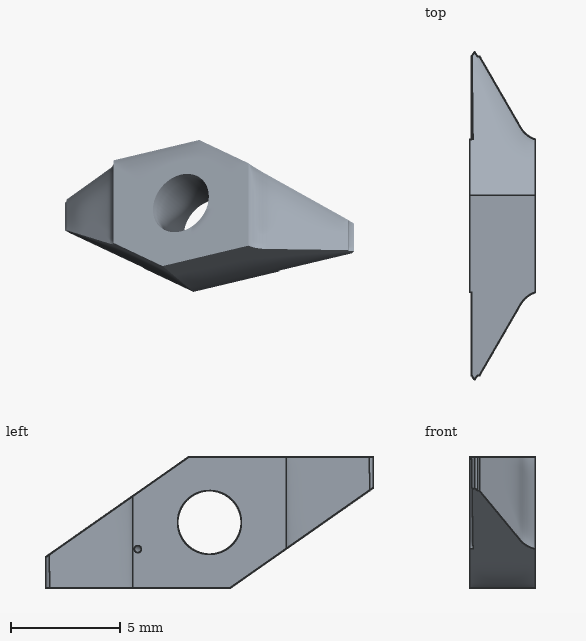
import cadquery as cq
import math

thickness = 3.0
length = 15.0
height = 6.0

ramp_angle = math.radians(35)
ramp_start_y = 0.95

shoulder_y = 3.5
land_depth = 0.08
land_relief_angle = math.radians(1)
flank_angle = math.radians(30)
nose_width = 0.28
flank_start_x = -1.05
flank_start_y = 7.3
root_start_x = 0.83

hole_diameter = 2.9
dimple_y = 3.28
dimple_z = -1.22
dimple_diameter = 0.32

half_thickness = thickness / 2
half_length = length / 2
half_height = height / 2
land_x = -half_thickness + land_depth


def side_blank():
    """Blank with the side outline, symmetric under a half turn about X."""
    end_z = half_height - (half_length - ramp_start_y) * math.tan(ramp_angle)
    half_outline = [
        (ramp_start_y, half_height),
        (half_length, end_z),
        (half_length, -half_height),
    ]
    other_half = [(-y, -z) for y, z in half_outline]
    outline = cq.Workplane("YZ").polyline(half_outline + other_half).close()
    return outline.extrude(half_thickness, both=True)


def half_turn(body):
    """Copy of a body turned half a revolution about the X axis."""
    return body.rotate((0, 0, 0), (1, 0, 0), 180)


def front_half_plan():
    """Full-height prism of the -Y half: land, pointed nose, slanted flank and root arc."""
    root_start_y = -flank_start_y + (root_start_x - flank_start_x) / math.tan(flank_angle)
    outline = (
        cq.Workplane("XY")
        .moveTo(-half_thickness, 0)
        .lineTo(-half_thickness, -shoulder_y)
        .lineTo(land_x, -shoulder_y)
        .lineTo(land_x, -flank_start_y)
        .lineTo(land_x + nose_width / 2, -half_length)
        .lineTo(land_x + nose_width, -flank_start_y)
        .lineTo(flank_start_x, -flank_start_y)
        .lineTo(root_start_x, root_start_y)
        .tangentArcPoint((half_thickness, -shoulder_y), relative=False)
        .lineTo(half_thickness, 0)
        .close()
    )
    return outline.extrude(half_height, both=True)


def land_relief():
    """Wedge that leans the land back below its cutting edge at the top face."""
    relief = height * math.tan(land_relief_angle)
    wedge = cq.Workplane("XZ", origin=(0, -shoulder_y, 0)).polyline([
        (land_x, half_height),
        (land_x + relief, -half_height),
        (-half_thickness, -half_height),
        (-half_thickness, half_height),
    ])
    return wedge.close().extrude(half_length - shoulder_y)


def centre_hole():
    """Through hole along X."""
    plane = cq.Workplane("YZ", origin=(-half_thickness, 0, 0))
    return plane.circle(hole_diameter / 2).extrude(thickness)


def dimple():
    """Small spherical index dimple in the -X face."""
    radius = dimple_diameter / 2
    half_ball = (
        cq.Workplane("XY")
        .lineTo(radius, 0)
        .radiusArc((0, radius), -radius)
        .close()
        .revolve(360, (0, 0, 0), (1, 0, 0))
    )
    return half_ball.translate((-half_thickness, dimple_y, dimple_z))


front_half = front_half_plan().cut(land_relief())
plan_body = front_half.union(half_turn(front_half))

result = side_blank().intersect(plan_body).cut(centre_hole()).cut(dimple())